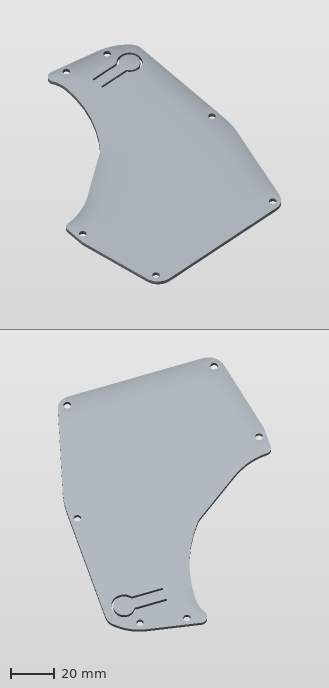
import cadquery as cq

LENGTH = 132.7
WIDTH = 100.6
THICKNESS = 2.0

TOP_BEND = (80.4, WIDTH)
RIGHT_UPPER_CORNER = (LENGTH, 86.5)
RIGHT_LOWER_CORNER = (LENGTH, 8.6)
BOTTOM_BEND = (89.0, 0.0)
BOTTOM_LEFT_CORNER = (75.9, 0.0)

TOP_BEND_RADIUS = 39.8
RIGHT_UPPER_RADIUS = 6.4
RIGHT_LOWER_RADIUS = 8.4
BOTTOM_LEFT_RADIUS = 2.7

LOWER_ARC_MIDDLE = (73.9, 12.0)
RAMP_BOTTOM = (69.3, 20.5)
RAMP_TOP = (52.0, 43.8)
LARGE_ARC_MIDDLE = (34.5, 53.9)
LARGE_ARC_END = (12.6, 58.0)
TIP_BLEND_START = (4.6, 55.9)

TIP_LEFTMOST = (0.0, 58.8)
LEFT_EDGE_BOTTOM = (0.1, 59.7)
LEFT_EDGE_TOP = (4.8, 85.2)

SHOULDER_MIDDLE = (7.5, 92.6)
SHOULDER_END = (12.1, 98.6)
TOP_EDGE_START = (16.7, WIDTH)

HOLE_DIAMETER = 3.5
HOLE_CENTERS = [(70.2, 97.0), (8.8, 86.4), (128.5, 83.0), (4.5, 64.9), (127.0, 12.0), (85.2, 3.6)]

BUTTON_CENTER = (19.6, 90.6)
PAD_DIAMETER = 10.0
TONGUE_WIDTH = 5.0
TONGUE_LENGTH = 19.9
BUTTON_GAP = 1.0


def keyhole(diameter, stem_width):
    """Solid disc with a straight stem that runs from its center toward -Y."""
    disc = cq.Workplane("XY").center(*BUTTON_CENTER).circle(diameter / 2).extrude(THICKNESS)
    stem = (
        cq.Workplane("XY")
        .center(BUTTON_CENTER[0], BUTTON_CENTER[1] - TONGUE_LENGTH / 2)
        .rect(stem_width, TONGUE_LENGTH)
        .extrude(THICKNESS)
    )
    return disc.union(stem)


def round_corner(body, corner, radius):
    """Round the vertical edge that stands at the given outline corner."""
    edge = cq.selectors.NearestToPointSelector((*corner, THICKNESS / 2))
    return body.edges("|Z").edges(edge).fillet(radius)


plate = (
    cq.Workplane("XY")
    .moveTo(*TOP_EDGE_START)
    .lineTo(*TOP_BEND)
    .lineTo(*RIGHT_UPPER_CORNER)
    .lineTo(*RIGHT_LOWER_CORNER)
    .lineTo(*BOTTOM_BEND)
    .lineTo(*BOTTOM_LEFT_CORNER)
    .threePointArc(LOWER_ARC_MIDDLE, RAMP_BOTTOM)
    .lineTo(*RAMP_TOP)
    .threePointArc(LARGE_ARC_MIDDLE, LARGE_ARC_END)
    .tangentArcPoint(TIP_BLEND_START, relative=False)
    .threePointArc(TIP_LEFTMOST, LEFT_EDGE_BOTTOM)
    .lineTo(*LEFT_EDGE_TOP)
    .threePointArc(SHOULDER_MIDDLE, SHOULDER_END)
    .tangentArcPoint(TOP_EDGE_START, relative=False)
    .close()
    .extrude(THICKNESS)
)

for corner, radius in [
    (TOP_BEND, TOP_BEND_RADIUS),
    (RIGHT_UPPER_CORNER, RIGHT_UPPER_RADIUS),
    (RIGHT_LOWER_CORNER, RIGHT_LOWER_RADIUS),
    (BOTTOM_LEFT_CORNER, BOTTOM_LEFT_RADIUS),
]:
    plate = round_corner(plate, corner, radius)

holes = cq.Workplane("XY").pushPoints(HOLE_CENTERS).circle(HOLE_DIAMETER / 2).extrude(THICKNESS)

button = keyhole(PAD_DIAMETER, TONGUE_WIDTH)
button_opening = keyhole(PAD_DIAMETER + 2 * BUTTON_GAP, TONGUE_WIDTH + 2 * BUTTON_GAP)
button_slot = button_opening.cut(button)

result = plate.cut(holes).cut(button_slot)